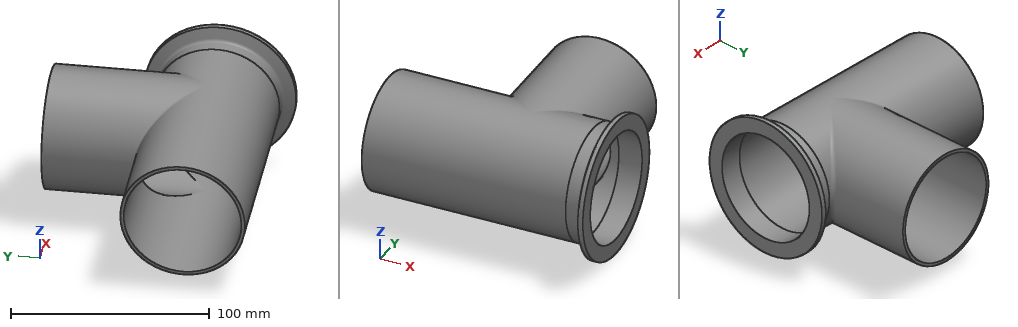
import cadquery as cq
import math

tube_radius = 31.8
wall = 1.8
bore_radius = tube_radius - wall

overall_length = 127.0
ferrule_length = 13.0
run_length = overall_length - ferrule_length
branch_x = 79.4
branch_length = 79.4
crotch_fillet = 2.0

flange_radius = 38.6
rim_width = 2.8
cone_angle = math.radians(20)
neck_fillet = 2.0


def run_cylinder(radius):
    return cq.Workplane("YZ").circle(radius).extrude(run_length)


def branch_cylinder(radius):
    return cq.Workplane("XZ").center(branch_x, 0).circle(radius).extrude(-branch_length)


def make_crotch():
    """One filleted corner of the solid tee: the quarter beyond both tube axes."""
    corner = cq.Workplane("XY").box(
        run_length - branch_x, branch_length, 2 * tube_radius, centered=(False, False, True)
    ).translate((branch_x, 0, 0))
    quarter = run_cylinder(tube_radius).intersect(corner).union(branch_cylinder(tube_radius).intersect(corner))
    return quarter.edges("%ELLIPSE").fillet(crotch_fillet)


def make_tee():
    crotch = make_crotch()
    opposite_crotch = crotch.mirror("YZ", (branch_x, 0, 0))
    outside = run_cylinder(tube_radius).union(branch_cylinder(tube_radius))
    outside = outside.union(crotch).union(opposite_crotch)
    hollow = outside.cut(run_cylinder(bore_radius)).cut(branch_cylinder(bore_radius))
    return hollow.solids()


def make_ferrule():
    rim_start = overall_length - rim_width
    cone_width = (flange_radius - tube_radius) * math.tan(cone_angle)
    cone_start = rim_start - cone_width

    turn = math.pi / 2 - cone_angle
    fillet_start = cone_start - neck_fillet * math.tan(turn / 2)

    def fillet_point(angle):
        return (
            fillet_start + neck_fillet * math.sin(angle),
            tube_radius + neck_fillet * (1 - math.cos(angle)),
        )

    profile = (
        cq.Workplane("XY")
        .moveTo(run_length, bore_radius)
        .lineTo(run_length, tube_radius)
        .lineTo(fillet_start, tube_radius)
        .threePointArc(fillet_point(turn / 2), fillet_point(turn))
        .lineTo(rim_start, flange_radius)
        .lineTo(overall_length, flange_radius)
        .lineTo(overall_length, bore_radius)
        .close()
    )
    return profile.revolve(360, (0, 0, 0), (1, 0, 0))


tee = make_tee()
ferrule = make_ferrule()

result = cq.Compound.makeCompound([tee.val(), ferrule.val()])